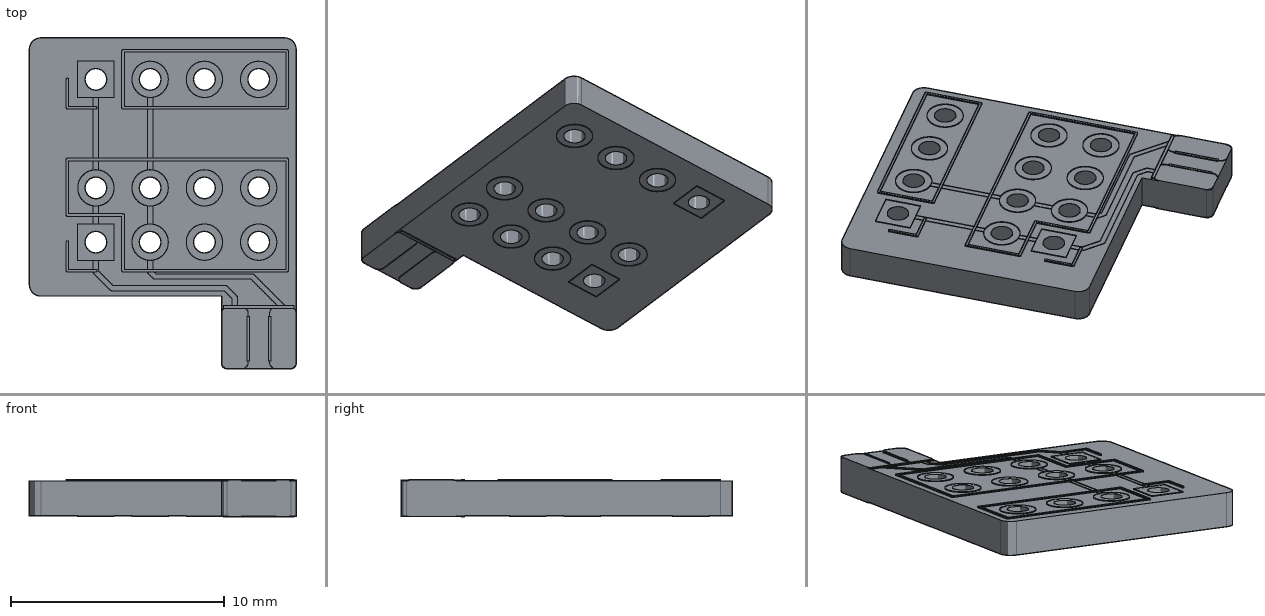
import cadquery as cq
import math

board_width = 12.5
board_length = 15.5
body_length = 12.1
tab_width = 3.5
total_height = 1.74
body_corner_radius = 0.55
tab_corner_radius = 0.25

print_height = 0.05
pad_height = 0.035
trace_height = 0.02
board_thickness = total_height - 2 * print_height
board_top = board_thickness / 2

left = -board_width / 2
right = board_width / 2
back = board_length / 2
front = -board_length / 2
body_front = back - body_length
tab_left = right - tab_width
tab_middle_x = right - tab_width / 2

pitch = 2.54
column_count = 4
hole_diameter = 1.0
pad_size = 1.7
first_column = left + 3.12
back_row = back - 1.95
columns = [first_column + index * pitch for index in range(column_count)]
rows = [back_row, back_row - 2 * pitch, back_row - 3 * pitch]
square_pad_centers = [(columns[0], rows[0]), (columns[0], rows[2])]
hole_centers = [(x, y) for y in rows for x in columns]
round_pad_centers = [center for center in hole_centers if center not in square_pad_centers]

print_width = 0.12
outline_margin = 1.33
outline_left = columns[0] - outline_margin
outline_right = columns[-1] + outline_margin
outline_step_x = columns[0] + pitch / 2

trace_width = 0.25
first_trace_y = back - 11.72
second_trace_y = back - 11.18
first_entry_bend = 0.75
second_entry_bend = 0.23
first_exit_bend = 0.45
second_exit_bend = 1.44

contact_width = 1.25
contact_radius = contact_width / 4
contact_back = back - 12.6
contact_length = contact_back - front
contact_middle_y = (contact_back + front) / 2
contact_columns = [tab_left + contact_width / 2, right - contact_width / 2]

tab_bar_length = 3.3
tab_bar_width = 0.15
divider_columns = [tab_left + contact_width, right - contact_width]
divider_back = back - 13.04
divider_length = 2.1



def make_board():
    """Bare board: wide body and a narrow tab along the right edge."""
    outline = [
        (left, back),
        (right, back),
        (right, front),
        (tab_left, front),
        (tab_left, body_front),
        (left, body_front),
    ]
    board = cq.Workplane("XY").polyline(outline).close().extrude(board_top, both=True)
    board = fillet_corners(board, [(left, back), (right, back), (left, body_front)], body_corner_radius)
    return fillet_corners(board, [(tab_left, front), (right, front)], tab_corner_radius)


def fillet_corners(board, corners, radius):
    """Round the upright board edges at the given corner positions."""
    for x, y in corners:
        board = board.edges(cq.selectors.NearestToPointSelector((x, y, 0))).fillet(radius)
    return board


def top_layer():
    """Workplane on the bare upper surface of the board."""
    return cq.Workplane("XY").workplane(offset=board_top)


def make_stroke(points, width, height):
    """Raised round-ended line that runs through the points."""
    stroke = None
    for (x1, y1), (x2, y2) in zip(points, points[1:]):
        slot_length = math.hypot(x2 - x1, y2 - y1) + width
        angle = math.degrees(math.atan2(y2 - y1, x2 - x1))
        middle = ((x1 + x2) / 2, (y1 + y2) / 2)
        segment = top_layer().center(*middle).slot2D(slot_length, width, angle).extrude(height)
        stroke = segment if stroke is None else stroke.union(segment)
    return stroke


def make_pads():
    """Header pads: square at the first pin of each header, round elsewhere."""
    pads = top_layer().pushPoints(square_pad_centers).rect(pad_size, pad_size).extrude(pad_height)
    return pads.union(top_layer().pushPoints(round_pad_centers).circle(pad_size / 2).extrude(pad_height))


def make_contacts():
    """Two rounded contacts that reach the front and side edges of the tab."""
    centers = [(x, contact_middle_y) for x in contact_columns]
    contacts = top_layer().pushPoints(centers).rect(contact_width, contact_length).extrude(pad_height)
    return contacts.edges("|Z").fillet(contact_radius)


def make_tab_bar():
    """Square-ended printed bar across the back of the contacts."""
    bar = top_layer().center(tab_middle_x, contact_back)
    return bar.rect(tab_bar_length, tab_bar_width).extrude(print_height)


def make_dividers():
    """Printed lines along the inner edges of the contacts."""
    centers = [(x, divider_back - divider_length / 2) for x in divider_columns]
    return top_layer().pushPoints(centers).rect(print_width, divider_length).extrude(print_height)


def make_traces():
    """Two traces that join the header columns to the edge contacts."""
    first_x, second_x = columns[0], columns[1]
    first_contact_x, second_contact_x = contact_columns
    first_path = [
        (first_x, rows[0]),
        (first_x, first_trace_y + first_entry_bend),
        (first_x + first_entry_bend, first_trace_y),
        (first_contact_x - first_exit_bend, first_trace_y),
        (first_contact_x, first_trace_y - first_exit_bend),
        (first_contact_x, contact_middle_y),
    ]
    second_path = [
        (second_x, rows[0]),
        (second_x, second_trace_y + second_entry_bend),
        (second_x + second_entry_bend, second_trace_y),
        (second_contact_x - second_exit_bend, second_trace_y),
        (second_contact_x, second_trace_y - second_exit_bend),
        (second_contact_x, contact_middle_y),
    ]
    first_trace = make_stroke(first_path, trace_width, trace_height)
    return first_trace.union(make_stroke(second_path, trace_width, trace_height))


def make_pin_mark(row):
    """Printed corner mark beside a square first pad."""
    mark_y = row - outline_margin
    path = [(outline_left, row), (outline_left, mark_y), (columns[0], mark_y)]
    return make_stroke(path, print_width, print_height)


def make_single_row_outline():
    """Printed rectangle around the round pads of the single-row header."""
    y_high = rows[0] + outline_margin
    y_low = rows[0] - outline_margin
    path = [
        (outline_step_x, y_high),
        (outline_right, y_high),
        (outline_right, y_low),
        (outline_step_x, y_low),
        (outline_step_x, y_high),
    ]
    return make_stroke(path, print_width, print_height)


def make_double_row_outline():
    """Printed outline around the double-row header, stepped around its square pad."""
    y_high = rows[1] + outline_margin
    y_step = rows[2] + pitch / 2
    y_low = rows[2] - outline_margin
    path = [
        (outline_left, y_high),
        (outline_right, y_high),
        (outline_right, y_low),
        (outline_step_x, y_low),
        (outline_step_x, y_step),
        (outline_left, y_step),
        (outline_left, y_high),
    ]
    return make_stroke(path, print_width, print_height)


def make_holes():
    """Cutters for the plated holes through board and pads."""
    holes = cq.Workplane("XY").pushPoints(hole_centers).circle(hole_diameter / 2)
    return holes.extrude(total_height, both=True)


result = make_board()
for layer in (make_pads(), make_contacts(), make_tab_bar()):
    result = result.union(layer).union(layer.mirror("XY"))

upper_layers = [make_traces(), make_dividers(), make_single_row_outline(), make_double_row_outline()]
upper_layers += [make_pin_mark(rows[0]), make_pin_mark(rows[2])]
for layer in upper_layers:
    result = result.union(layer)

result = result.cut(make_holes())